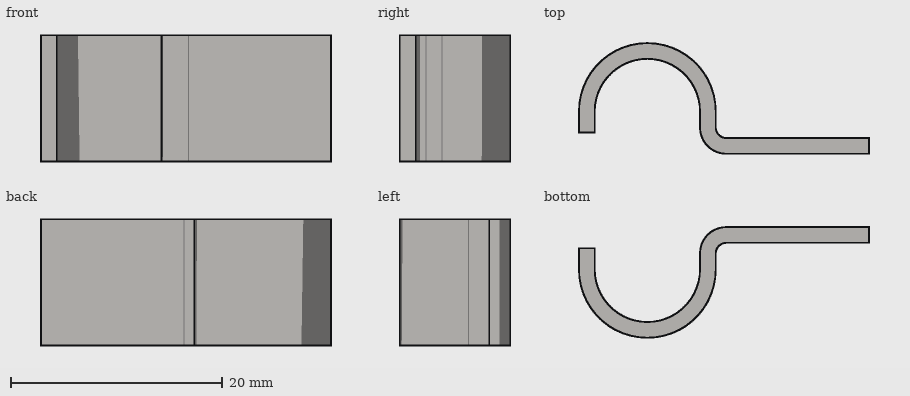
import cadquery as cq
import math

total_length = 27.5
strip_width = 12.0
thickness = 1.5
hoop_outer_radius = 6.5
free_leg_length = 2.0
joined_leg_length = 1.5
bend_inner_radius = 1.0

hoop_inner_radius = hoop_outer_radius - thickness
bend_outer_radius = bend_inner_radius + thickness
bend_center_x = hoop_outer_radius + bend_inner_radius
bend_center_y = -joined_leg_length
flange_top_y = bend_center_y - bend_inner_radius
flange_bottom_y = bend_center_y - bend_outer_radius
flange_end_x = total_length - hoop_outer_radius


def bend_midpoint(radius):
    """Point halfway round the quarter bend between the leg and the flange."""
    offset = radius * math.sqrt(0.5)
    return (bend_center_x - offset, bend_center_y - offset)


profile = (
    cq.Workplane("XY")
    .moveTo(-hoop_outer_radius, -free_leg_length)
    .lineTo(-hoop_outer_radius, 0)
    .threePointArc((0, hoop_outer_radius), (hoop_outer_radius, 0))
    .lineTo(hoop_outer_radius, bend_center_y)
    .threePointArc(bend_midpoint(bend_inner_radius), (bend_center_x, flange_top_y))
    .lineTo(flange_end_x, flange_top_y)
    .lineTo(flange_end_x, flange_bottom_y)
    .lineTo(bend_center_x, flange_bottom_y)
    .threePointArc(bend_midpoint(bend_outer_radius), (hoop_inner_radius, bend_center_y))
    .lineTo(hoop_inner_radius, 0)
    .threePointArc((0, hoop_inner_radius), (-hoop_inner_radius, 0))
    .lineTo(-hoop_inner_radius, -free_leg_length)
    .close()
)

result = profile.extrude(strip_width)